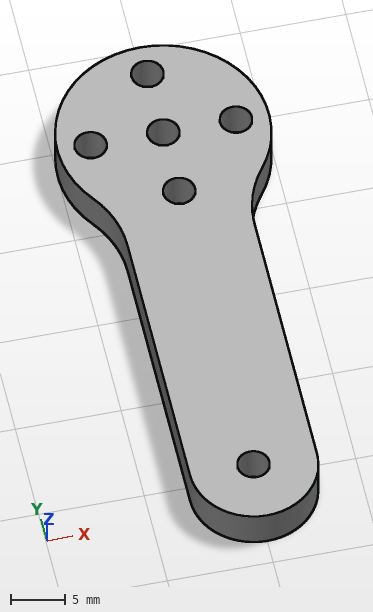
import cadquery as cq
import math

thickness = 4.0
head_radius = 10.0
arm_half_width = 6.0
neck_radius = 10.0
arm_end_distance = 39.0
hole_diameter = 3.0
hole_circle_radius = 6.87
outer_hole_count = 4

neck_center_x = arm_half_width + neck_radius
neck_center_distance = head_radius + neck_radius
neck_center_y = -math.sqrt(neck_center_distance**2 - neck_center_x**2)
head_tangent_x = neck_center_x * head_radius / neck_center_distance
head_tangent_y = neck_center_y * head_radius / neck_center_distance
neck_start_angle = math.atan2(-neck_center_y, -neck_center_x)
neck_mid_angle = (neck_start_angle + math.pi) / 2
neck_mid_x = neck_center_x + neck_radius * math.cos(neck_mid_angle)
neck_mid_y = neck_center_y + neck_radius * math.sin(neck_mid_angle)


def make_lever_body():
    """Flat plate: round head, blended neck and straight arm with a rounded end."""
    return (
        cq.Workplane("XY")
        .moveTo(head_tangent_x, head_tangent_y)
        .threePointArc((0, head_radius), (-head_tangent_x, head_tangent_y))
        .threePointArc((-neck_mid_x, neck_mid_y), (-arm_half_width, neck_center_y))
        .lineTo(-arm_half_width, -arm_end_distance)
        .threePointArc(
            (0, -arm_end_distance - arm_half_width),
            (arm_half_width, -arm_end_distance),
        )
        .lineTo(arm_half_width, neck_center_y)
        .threePointArc((neck_mid_x, neck_mid_y), (head_tangent_x, head_tangent_y))
        .close()
        .extrude(thickness)
    )


def make_holes():
    """Through holes: head centre, four around it, and one at the arm end."""
    centers = [(0, 0), (0, -arm_end_distance)]
    for index in range(outer_hole_count):
        angle = 2 * math.pi * index / outer_hole_count
        centers.append((hole_circle_radius * math.cos(angle), hole_circle_radius * math.sin(angle)))
    return cq.Workplane("XY").pushPoints(centers).circle(hole_diameter / 2).extrude(thickness)


result = make_lever_body().cut(make_holes())